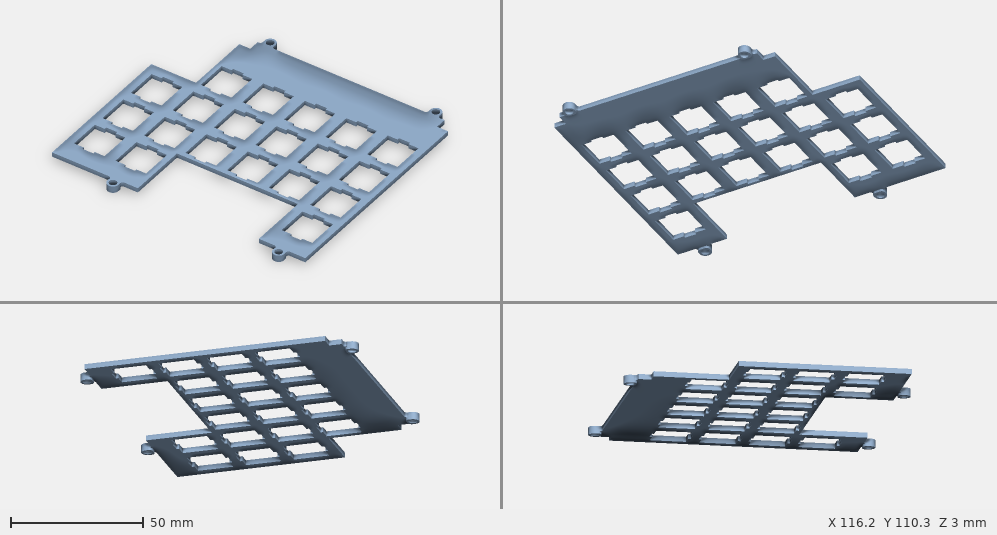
import cadquery as cq
import math

TOTAL_LENGTH = 110.29
PLATE_WIDTH = 116.21
PLATE_LENGTH = 100.55
PLATE_THICKNESS = 2.0
LUG_HEIGHT = 3.0
PLATE_UNDERSIDE = LUG_HEIGHT - PLATE_THICKNESS

LEFT_WING_TOP = 66.5
BODY_LEFT = 20.5
CORNER_NOTCH = 5.0
GAP_LEFT = 39.4
GAP_RIGHT = 94.9
GAP_TOP = 26.2

KEY_PITCH = 19.05
FIRST_COLUMN_X = 10.7
FIRST_ROW_Y = 16.35
OPENING_SIDE = 14.0
CLIP_WIDTH = 5.0
CLIP_SPAN = 16.0
COLUMNS_IN_ROW = [
    [0, 1, 5],
    [0, 1, 2, 3, 4, 5],
    [0, 1, 2, 3, 4, 5],
    [1, 2, 3, 4, 5],
]

HOLE_DIAMETER = 3.3
LUG_WALL = 0.85
LUG_RADIUS = HOLE_DIAMETER / 2 + LUG_WALL
LUG_REACH = (TOTAL_LENGTH - PLATE_LENGTH) / 2
HOLE_OFFSET = LUG_REACH - LUG_RADIUS
LUG_ROOT_RADIUS = 1.0
LUG_FOOT_RADIUS = 1.5
LUG_X = [29.6, 105.6]


def make_plate():
    """Flat plate with its stepped outline."""
    notch_bottom = PLATE_LENGTH - CORNER_NOTCH
    outline = [
        (0, 0),
        (GAP_LEFT, 0),
        (GAP_LEFT, GAP_TOP),
        (GAP_RIGHT, GAP_TOP),
        (GAP_RIGHT, 0),
        (PLATE_WIDTH, 0),
        (PLATE_WIDTH, notch_bottom),
        (PLATE_WIDTH - CORNER_NOTCH, notch_bottom),
        (PLATE_WIDTH - CORNER_NOTCH, PLATE_LENGTH),
        (BODY_LEFT + CORNER_NOTCH, PLATE_LENGTH),
        (BODY_LEFT + CORNER_NOTCH, notch_bottom),
        (BODY_LEFT, notch_bottom),
        (BODY_LEFT, LEFT_WING_TOP),
        (0, LEFT_WING_TOP),
    ]
    sketch = cq.Workplane("XY").workplane(offset=PLATE_UNDERSIDE)
    return sketch.polyline(outline).close().extrude(PLATE_THICKNESS)


def make_openings():
    """Cutters for the switch openings, each a square with a clip notch above and below."""
    centres = [
        (FIRST_COLUMN_X + column * KEY_PITCH, FIRST_ROW_Y + row * KEY_PITCH)
        for row, columns in enumerate(COLUMNS_IN_ROW)
        for column in columns
    ]
    squares = cq.Workplane("XY").pushPoints(centres).rect(OPENING_SIDE, OPENING_SIDE).extrude(LUG_HEIGHT)
    clips = cq.Workplane("XY").pushPoints(centres).rect(CLIP_WIDTH, CLIP_SPAN).extrude(LUG_HEIGHT)
    return squares.union(clips)


def make_lug(x, edge_y, outward):
    """Full-height lug on a plate edge; outward is +1 or -1 along Y."""
    hole_y = edge_y + outward * HOLE_OFFSET
    tip_y = edge_y + outward * LUG_REACH
    foot_y = edge_y + outward * LUG_FOOT_RADIUS
    foot_half = LUG_RADIUS - LUG_FOOT_RADIUS

    body = (
        cq.Workplane("XY")
        .moveTo(x - LUG_RADIUS, hole_y)
        .threePointArc((x, tip_y), (x + LUG_RADIUS, hole_y))
        .lineTo(x + LUG_RADIUS, foot_y)
        .tangentArcPoint((x + foot_half, edge_y), relative=False)
        .lineTo(x - foot_half, edge_y)
        .tangentArcPoint((x - LUG_RADIUS, foot_y), relative=False)
        .close()
        .extrude(LUG_HEIGHT)
    )

    root_y = edge_y + outward * LUG_ROOT_RADIUS
    root_half = LUG_RADIUS + LUG_ROOT_RADIUS
    arc_inset = LUG_ROOT_RADIUS * math.sqrt(0.5)
    arc_rise = LUG_ROOT_RADIUS - arc_inset
    neck = (
        cq.Workplane("XY")
        .workplane(offset=PLATE_UNDERSIDE)
        .moveTo(x - LUG_RADIUS, root_y)
        .lineTo(x + LUG_RADIUS, root_y)
        .threePointArc((x + root_half - arc_inset, edge_y + outward * arc_rise), (x + root_half, edge_y))
        .lineTo(x - root_half, edge_y)
        .threePointArc((x - root_half + arc_inset, edge_y + outward * arc_rise), (x - LUG_RADIUS, root_y))
        .close()
        .extrude(PLATE_THICKNESS)
    )
    return body.union(neck)


def make_lug_hole(x, edge_y, outward):
    """Cutter for the screw hole through a lug."""
    hole_y = edge_y + outward * HOLE_OFFSET
    return cq.Workplane("XY").center(x, hole_y).circle(HOLE_DIAMETER / 2).extrude(LUG_HEIGHT)


result = make_plate().cut(make_openings())
for lug_x in LUG_X:
    for lug_edge, lug_direction in ((0, -1), (PLATE_LENGTH, 1)):
        result = result.union(make_lug(lug_x, lug_edge, lug_direction))
        result = result.cut(make_lug_hole(lug_x, lug_edge, lug_direction))